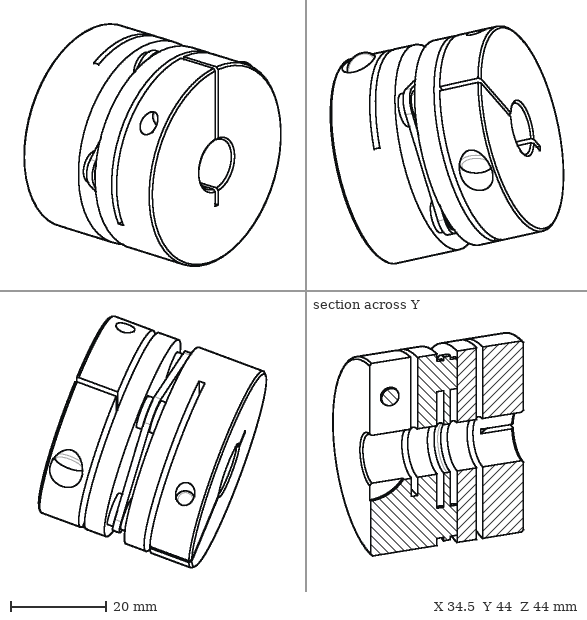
import cadquery as cq
import math


outer_dia = 44.0
overall_length = 34.5
gap_between_hubs = 4.5
bore_dia = 11.0
edge_chamfer = 0.5

plate_thickness = 1.5
spacer_dia = 7.05
spacer_offset = 16.8
spacer_count = 4
plate_corner_dia = 8.62

cross_slot_start = 9.25
cross_slot_width = 1.3
cross_slot_depth = 31.7
slit_width = 1.0
slit_end_radius = cross_slot_start

screw_dia = 4.0
screw_offset = 13.8
screw_from_end = 4.5
head_dia = 7.05
head_height = 4.0
head_end = -15.35
tip_end = 13.65
screw_edge_radius = 0.5

outer_radius = outer_dia / 2
half_length = overall_length / 2
hub_length = (overall_length - gap_between_hubs) / 2
hub_inner_face = gap_between_hubs / 2
head_seat = head_end + head_height


def screw_cylinder(diameter, bottom, top):
    """Cylinder on the axis of the left clamp screw, from z = bottom to z = top."""
    return (
        cq.Workplane("XY", origin=(screw_from_end - half_length, screw_offset, bottom))
        .circle(diameter / 2)
        .extrude(top - bottom)
    )


def slit_cutter():
    """Thin slit open towards +Y; its far end is an arc centred on the end face."""
    open_side = cq.Workplane("XY", origin=(-half_length, 0, 0)).box(
        cross_slot_start, outer_radius, slit_width, centered=(False, False, True)
    )
    arc_end = (
        cq.Workplane("XY", origin=(-half_length, 0, 0))
        .circle(slit_end_radius)
        .extrude(slit_width / 2, both=True)
    )
    return open_side.union(arc_end)


def cross_slot_cutter():
    """Slot square to the axis, cut from +Y past the bore."""
    slot_floor = outer_radius - cross_slot_depth
    return cq.Workplane("XY", origin=(cross_slot_start - half_length, slot_floor, 0)).box(
        cross_slot_width, cross_slot_depth, outer_dia, centered=(False, False, True)
    )


def make_left_hub():
    hub = (
        cq.Workplane("YZ", origin=(-half_length, 0, 0))
        .circle(outer_radius)
        .circle(bore_dia / 2)
        .extrude(hub_length)
        .faces("<X")
        .chamfer(edge_chamfer)
    )
    screw_hole = screw_cylinder(screw_dia, -outer_radius, outer_radius)
    head_recess = screw_cylinder(head_dia, -outer_radius, head_seat)
    return hub.cut(slit_cutter()).cut(cross_slot_cutter()).cut(screw_hole).cut(head_recess)


def make_left_screw():
    head = screw_cylinder(head_dia, head_end, head_seat)
    shank = screw_cylinder(screw_dia, head_seat, tip_end)
    return head.union(shank).faces("<Z or >Z").edges().fillet(screw_edge_radius)


def make_plate_with_spacers():
    """Square plate with rounded corners, one corner round each spacer."""
    plate = (
        cq.Workplane("YZ")
        .polarArray(spacer_offset, 0, 360, spacer_count)
        .circle(plate_corner_dia / 2)
        .extrude(plate_thickness / 2, both=True)
    )
    side_between_corners = spacer_offset * math.sqrt(2)
    full_side = side_between_corners + plate_corner_dia
    for length, width in ((side_between_corners, full_side), (full_side, side_between_corners)):
        web = cq.Workplane("XY").box(plate_thickness, length, width)
        plate = plate.union(web.rotate((0, 0, 0), (1, 0, 0), 45))
    spacers = (
        cq.Workplane("YZ")
        .polarArray(spacer_offset, 0, 360, spacer_count)
        .circle(spacer_dia / 2)
        .extrude(hub_inner_face, both=True)
    )
    bore = cq.Workplane("YZ").circle(bore_dia / 2).extrude(hub_inner_face, both=True)
    return plate.union(spacers).cut(bore)


def to_right_side(left_body):
    """Mirror a left-hand body to +X and turn its slit direction from +Y to +Z."""
    return left_body.mirror("YZ").rotate((0, 0, 0), (1, 0, 0), 90)


left_hub = make_left_hub()
right_hub = to_right_side(left_hub).union(make_plate_with_spacers())

left_screw = make_left_screw()
right_screw = to_right_side(left_screw)

bodies = [left_hub, right_hub, left_screw, right_screw]
result = cq.Compound.makeCompound([body.solids().val() for body in bodies])